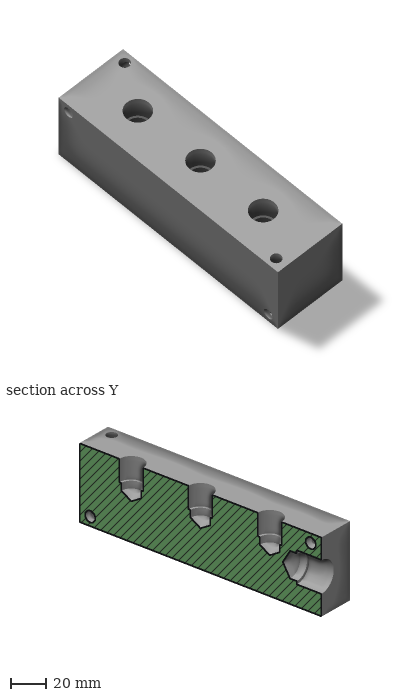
import cadquery as cq
import math

LENGTH = 177.8
SIDE = 50.8

PORT_COUNT = 3
PORT_PITCH = SIDE
PORT_THREAD_DIAMETER = 17.3
PORT_DRILL_DIAMETER = 14.3
PORT_THREAD_DEPTH = 15.0
PORT_DRILL_DEPTH = 20.0

INLET_THREAD_DIAMETER = 21.59
INLET_DRILL_DIAMETER = 17.48
INLET_THREAD_DEPTH = 18.0
INLET_DRILL_DEPTH = 23.0

DRILL_POINT_ANGLE = 118.0

MOUNT_DIAMETER = 7.14
MOUNT_END_INSET = 7.94
MOUNT_SIDE_INSET = 6.35


def threaded_port(thread_diameter, thread_depth, drill_diameter, drill_depth):
    """Cutter for a blind stepped port with a conical drill tip, mouth at the origin, running down -Z."""
    thread_radius = thread_diameter / 2
    drill_radius = drill_diameter / 2
    tip_length = drill_radius / math.tan(math.radians(DRILL_POINT_ANGLE / 2))
    return (
        cq.Workplane("XZ")
        .lineTo(thread_radius, 0)
        .lineTo(thread_radius, -thread_depth)
        .lineTo(drill_radius, -thread_depth)
        .lineTo(drill_radius, -drill_depth)
        .lineTo(0, -drill_depth - tip_length)
        .close()
        .revolve(360, (0, 0, 0), (0, 1, 0))
    )


def outlet_ports():
    """Row of equally spaced port cutters entering the top face, centred along the block."""
    port = threaded_port(
        PORT_THREAD_DIAMETER, PORT_THREAD_DEPTH, PORT_DRILL_DIAMETER, PORT_DRILL_DEPTH
    )
    row = cq.Workplane("XY")
    for index in range(PORT_COUNT):
        x = (index - (PORT_COUNT - 1) / 2) * PORT_PITCH
        row = row.add(port.translate((x, 0, SIDE / 2)))
    return row.combine()


def inlet_port():
    """Port cutter entering the centre of the -X end face."""
    port = threaded_port(
        INLET_THREAD_DIAMETER, INLET_THREAD_DEPTH, INLET_DRILL_DIAMETER, INLET_DRILL_DEPTH
    )
    return port.rotate((0, 0, 0), (0, 1, 0), -90).translate((-LENGTH / 2, 0, 0))


def mounting_holes(plane):
    """Pair of through-hole cutters at opposite corners of a long face lying in the given plane."""
    x = LENGTH / 2 - MOUNT_END_INSET
    across = SIDE / 2 - MOUNT_SIDE_INSET
    return (
        cq.Workplane(plane)
        .pushPoints([(-x, across), (x, -across)])
        .circle(MOUNT_DIAMETER / 2)
        .extrude(SIDE / 2, both=True)
    )


block = cq.Workplane("XY").box(LENGTH, SIDE, SIDE)

result = (
    block.cut(outlet_ports())
    .cut(inlet_port())
    .cut(mounting_holes("XY"))
    .cut(mounting_holes("XZ"))
)